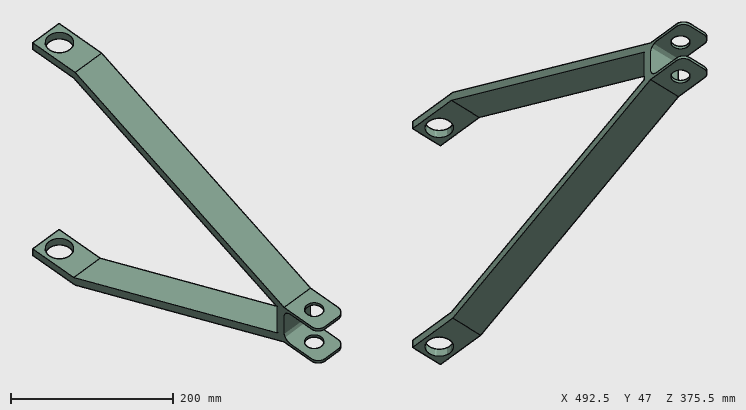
import cadquery as cq
import math

length = 492.5
width = 47.0
height = 375.5

arm_thickness = 12.0
pad_length = 73.5
pad_hole_diameter = 35.0
pad_hole_x = width / 2

fork_height = 61.0
web_thickness = 12.0
web_right_x = 433.5
ear_thickness = 4.5
fork_fillet = 12.0
ear_corner_radius = 12.0
ear_hole_diameter = 23.5
ear_hole_from_end = 30.0

half_height = height / 2
half_fork = fork_height / 2
web_left_x = web_right_x - web_thickness
arm_slope = (half_height - half_fork) / (web_right_x - pad_length)
arm_angle = math.atan(arm_slope)
inner_bend_x = pad_length - arm_thickness * math.tan(arm_angle / 2)
pad_inner_z = half_height - arm_thickness
arm_root_z = pad_inner_z - (web_left_x - inner_bend_x) * arm_slope


def upper_half():
    """Upper half of the side outline, extruded symmetrically across the width."""
    ear_inner_z = half_fork - ear_thickness
    outline = [
        (web_left_x, 0),
        (web_left_x, arm_root_z),
        (inner_bend_x, pad_inner_z),
        (0, pad_inner_z),
        (0, half_height),
        (pad_length, half_height),
        (web_right_x, half_fork),
        (length, half_fork),
        (length, ear_inner_z),
        (web_right_x + fork_fillet, ear_inner_z),
    ]
    return (
        cq.Workplane("XZ")
        .polyline(outline)
        .radiusArc((web_right_x, ear_inner_z - fork_fillet), -fork_fillet)
        .lineTo(web_right_x, 0)
        .close()
        .extrude(width / 2, both=True)
    )


def through_hole(x, diameter):
    """Vertical cutter reaching through both arms or both ears."""
    return (
        cq.Workplane("XY", origin=(x, 0, -half_height))
        .circle(diameter / 2)
        .extrude(height)
    )


upper = upper_half()
body = upper.union(upper.mirror("XY"))

body = body.faces(">X").edges("|Z").fillet(ear_corner_radius)

body = body.cut(through_hole(pad_hole_x, pad_hole_diameter))
result = body.cut(through_hole(length - ear_hole_from_end, ear_hole_diameter))